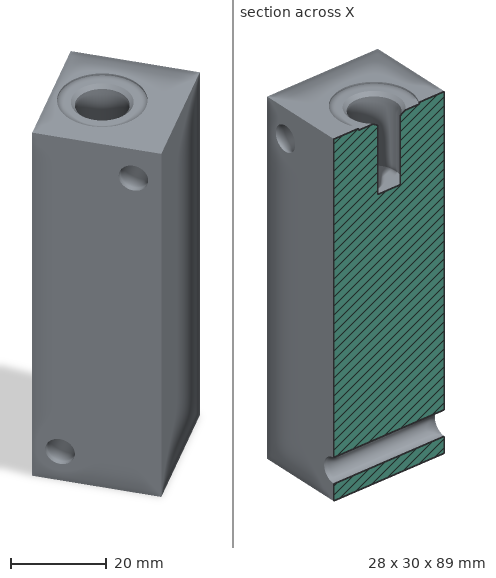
import cadquery as cq

WIDTH = 28.0
DEPTH = 30.0
HEIGHT = 89.0

PORT_X = 11.0
PORT_BORE_DIAMETER = 11.5
PORT_MOUTH_DIAMETER = 13.2
PORT_BORE_DEPTH = 17.8
SPOT_FACE_DIAMETER = 19.0
SPOT_FACE_DEPTH = 0.45

MOUNT_HOLE_DIAMETER = 6.4
MOUNT_HOLE_INSET_X = 6.05
MOUNT_HOLE_INSET_Z = 7.5


def make_block():
    """Block with its lower left front corner at the origin."""
    return cq.Workplane("XY").box(WIDTH, DEPTH, HEIGHT, centered=False)


def make_port():
    """Spot face, chamfered mouth and flat-bottomed bore, as one solid to cut."""
    chamfer = (PORT_MOUTH_DIAMETER - PORT_BORE_DIAMETER) / 2
    seat_z = HEIGHT - SPOT_FACE_DEPTH
    floor_z = seat_z - PORT_BORE_DEPTH
    half_profile = [
        (0, floor_z),
        (PORT_BORE_DIAMETER / 2, floor_z),
        (PORT_BORE_DIAMETER / 2, seat_z - chamfer),
        (PORT_MOUTH_DIAMETER / 2, seat_z),
        (SPOT_FACE_DIAMETER / 2, seat_z),
        (SPOT_FACE_DIAMETER / 2, HEIGHT),
        (0, HEIGHT),
    ]
    port = cq.Workplane("XZ").polyline(half_profile).close().revolve(360, (0, 0), (0, 1))
    return port.translate((PORT_X, DEPTH / 2, 0))


def make_mount_holes():
    """Cylinders along Y at the lower left and the upper right."""
    lower_left = (MOUNT_HOLE_INSET_X, MOUNT_HOLE_INSET_Z)
    upper_right = (WIDTH - MOUNT_HOLE_INSET_X, HEIGHT - MOUNT_HOLE_INSET_Z)
    return (
        cq.Workplane("XZ")
        .pushPoints([lower_left, upper_right])
        .circle(MOUNT_HOLE_DIAMETER / 2)
        .extrude(-DEPTH)
    )


result = make_block().cut(make_port()).cut(make_mount_holes())